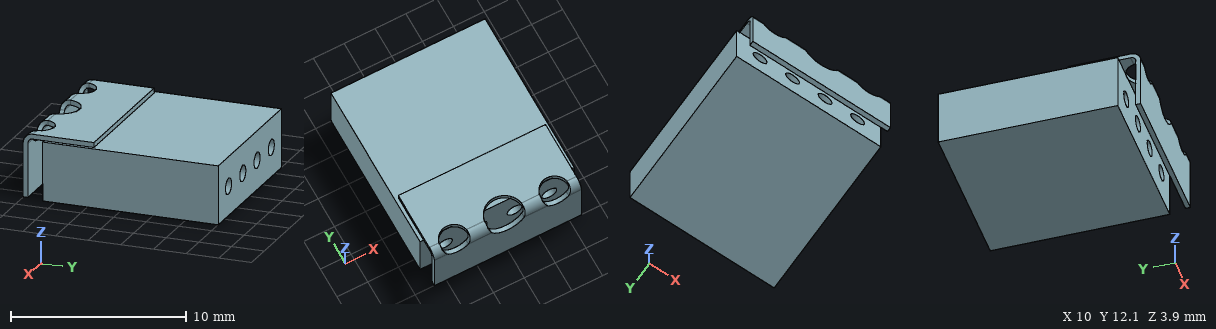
import cadquery as cq
import math


total_length = 12.05
total_height = 3.9
sheet_thickness = 0.3

block_width = 10.0
block_height = total_height - sheet_thickness
block_front = 1.3
block_length = total_length - block_front
bore_diameter = 0.95
bore_count = 4
bore_pitch = 2.25

bracket_width = 9.54
bracket_length = 4.35
inner_bend_radius = sheet_thickness
outer_bend_radius = inner_bend_radius + sheet_thickness
bend_axis_y = outer_bend_radius
bend_axis_z = total_height - outer_bend_radius

unrolled_bend_length = 0.77
window_centre_on_bend = 0.18
centre_window_radius = 1.2
side_window_radius = 0.9
side_window_offset = 3.25
bend_sections = 9
cutter_margin = 0.12


def make_block():
    """Rectangular block with a row of through bores along Y at half height."""
    block = cq.Workplane("XY").box(block_width, block_length, block_height, centered=(True, False, False))
    bores = (
        cq.Workplane("XZ")
        .center(0, block_height / 2)
        .rarray(bore_pitch, 0.12, bore_count, 1)
        .circle(bore_diameter / 2)
        .extrude(-block_length)
    )
    return block.cut(bores).translate((0, block_front, 0))


def half_width_at(radius, bend_angle):
    """Half width of a bent window at an angle measured from the top end of the bend."""
    unrolled = unrolled_bend_length * bend_angle / (math.pi / 2)
    return math.sqrt(radius**2 - (unrolled - window_centre_on_bend) ** 2)


def make_bend_cutter(radius, window_x):
    """Loft through rectangles that stand radially around the bend axis."""
    near = inner_bend_radius - cutter_margin
    far = outer_bend_radius + cutter_margin
    sections = []
    for index in range(bend_sections):
        angle = math.pi / 2 * index / (bend_sections - 1)
        half_width = half_width_at(radius, angle)
        corners = [
            cq.Vector(
                window_x + side * half_width,
                bend_axis_y - reach * math.sin(angle),
                bend_axis_z + reach * math.cos(angle),
            )
            for side, reach in ((-1, near), (1, near), (1, far), (-1, far))
        ]
        sections.append(cq.Wire.makePolygon(corners, close=True))
    return cq.Workplane(obj=cq.Solid.makeLoft(sections))


def make_top_cutter(radius, window_x):
    """Part of the window on the flat top, behind the bend."""
    half_width = half_width_at(radius, 0)
    window_end = bend_axis_y - window_centre_on_bend + radius
    return (
        cq.Workplane("XY", origin=(window_x, 0, total_height - sheet_thickness - cutter_margin))
        .moveTo(-half_width, bend_axis_y)
        .threePointArc((0, window_end), (half_width, bend_axis_y))
        .close()
        .extrude(sheet_thickness + 2 * cutter_margin)
    )


def make_front_cutter(radius, window_x):
    """Part of the window on the front wall, below the bend."""
    half_width = half_width_at(radius, math.pi / 2)
    window_bottom = bend_axis_z + unrolled_bend_length - window_centre_on_bend - radius
    return (
        cq.Workplane("XZ", origin=(window_x, -cutter_margin, 0))
        .moveTo(-half_width, bend_axis_z)
        .threePointArc((0, window_bottom), (half_width, bend_axis_z))
        .close()
        .extrude(-(sheet_thickness + 2 * cutter_margin))
    )


def make_bracket():
    """Bent sheet lying on the block's top, with three windows across the bend."""
    bracket = (
        cq.Workplane("YZ", origin=(-bracket_width / 2, 0, 0))
        .lineTo(0, bend_axis_z)
        .radiusArc((bend_axis_y, total_height), outer_bend_radius)
        .lineTo(bracket_length, total_height)
        .lineTo(bracket_length, block_height)
        .lineTo(bend_axis_y, block_height)
        .radiusArc((sheet_thickness, bend_axis_z), -inner_bend_radius)
        .lineTo(sheet_thickness, 0)
        .close()
        .extrude(bracket_width)
    )
    windows = (
        (-side_window_offset, side_window_radius),
        (0, centre_window_radius),
        (side_window_offset, side_window_radius),
    )
    for window_x, radius in windows:
        bracket = bracket.cut(make_top_cutter(radius, window_x))
        bracket = bracket.cut(make_bend_cutter(radius, window_x))
        bracket = bracket.cut(make_front_cutter(radius, window_x))
    return bracket


block = make_block()
bracket = make_bracket()

result = cq.Compound.makeCompound([block.solids().val(), bracket.solids().val()])